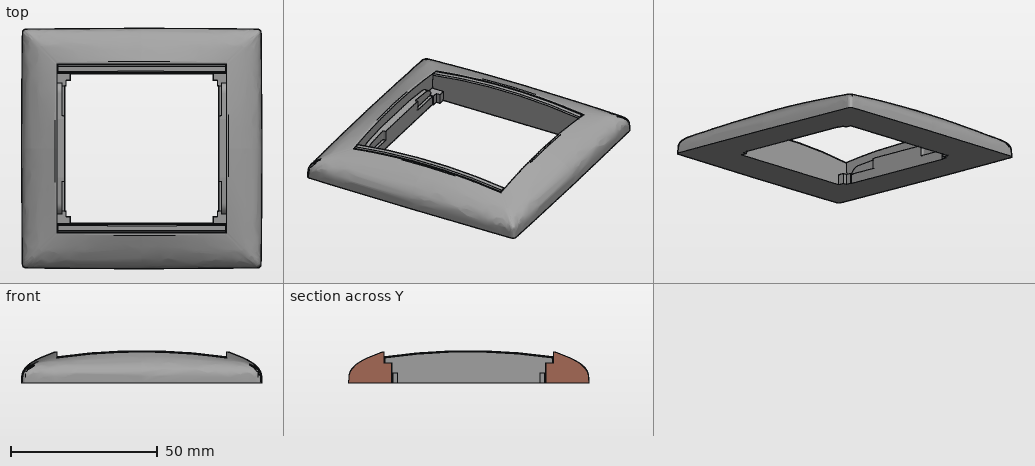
import cadquery as cq
import math

half_width = 41.0
corner_half_width = 40.7
corner_radius = 1.2
total_height = 11.1

wall_inset = 0.3
wall_z = 3.45
dome = [(38.5, 6.3), (35.0, 8.45), (29.6, 10.7)]
corner_dome = [(38.7, 5.4), (35.1, 7.05), (29.3, 8.6)]
section_inner = 27.1
side_steps = 6
corner_steps = 4
well_half = 28.8

bar_inner_y = 25.4
bar_draft = 0.5
bar_outer_y = 28.4
bar_half_length = 28.5
bar_end_z = 9.0
bar_chamfer = 0.4
groove_depth = 0.8

ledge_inner_x = 26.15
ledge_z = 6.9
ledge_flat_half = 10.0
ledge_bend = (18.9, 6.15)
block_z = 3.5
block_start_y = 22.3

block_inner_x = 24.3
block_face_y = 23.2
step_inner_x = 25.75
step_face_y = 21.3

slot_depth = 1.1
slot_start_y = 11.15
slot_floor_z = 3.3
slot_end_radius = 0.5


def blend(middle, corner, along):
    """Value part-way along a side: it falls off as a parabola towards the corner."""
    return middle + (corner - middle) * along ** 2


def border_section(across, along):
    """Closed section of the border in an upright plane through the Z axis.

    `across` and `along` give the plane's direction as fractions of the half width:
    (1, 0) is the middle of the +X side and (0, 1) the middle of the +Y side.
    """
    fall = min(across, along)

    def at(distance, z):
        return cq.Vector(across * distance, along * distance, z)

    outer = blend(half_width, corner_half_width, fall)
    points = [at(outer, 0), at(outer - wall_inset, wall_z)]
    for (distance, z), (corner_distance, corner_z) in zip(dome, corner_dome):
        points.append(at(blend(distance, corner_distance, fall), blend(z, corner_z, fall)))
    rim_point = points[-1]
    wall_direction = points[1] - points[0]
    dome_direction = rim_point - points[-2]
    top_inner = at(section_inner, rim_point.z)
    bottom_inner = at(section_inner, 0)
    return cq.Wire.assembleEdges([
        cq.Edge.makeLine(bottom_inner, points[0]),
        cq.Edge.makeSpline(points, tangents=[wall_direction, dome_direction]),
        cq.Edge.makeLine(rim_point, top_inner),
        cq.Edge.makeLine(top_inner, bottom_inner),
    ])


def border():
    """Four equal quarters, each from mid-side around a rounded corner to mid-side."""
    radius = corner_radius / corner_half_width
    arc_centre = 1 - radius

    side = []
    for step in range(side_steps):
        turn = math.pi / 2 * step / side_steps
        side.append((1, arc_centre * math.sin(turn)))

    arc = []
    for step in range(corner_steps + 1):
        turn = math.pi / 2 * step / corner_steps
        arc.append((arc_centre + radius * math.cos(turn), arc_centre + radius * math.sin(turn)))

    next_side = [(along, across) for across, along in reversed(side)]
    sections = [border_section(*direction) for direction in side + arc + next_side]
    quarter = cq.Workplane(cq.occ_impl.shapes.loft(sections, cap=True))

    ring = quarter
    for turn in (90, 180, 270):
        ring = ring.union(quarter.rotate((0, 0, 0), (0, 0, 1), turn))
    well = cq.Workplane().rect(2 * well_half, 2 * well_half).extrude(total_height)
    return ring.cut(well)


def arched_plate(near_y, far_y, drop):
    """Plate along X between two Y positions, its arched top lowered by `drop`."""
    return (
        cq.Workplane("XZ", origin=(0, far_y, 0))
        .moveTo(-bar_half_length, 0)
        .lineTo(-bar_half_length, bar_end_z - drop)
        .threePointArc((0, total_height - drop), (bar_half_length, bar_end_z - drop))
        .lineTo(bar_half_length, 0)
        .close()
        .extrude(far_y - near_y)
    )


def bar():
    """Arched bar on the +Y side with the floor of the groove behind it."""
    arch = arched_plate(bar_inner_y, bar_outer_y, 0)
    draft = (
        cq.Workplane("YZ", origin=(-half_width, 0, 0))
        .polyline([(bar_inner_y, 0), (bar_inner_y + bar_draft, total_height), (bar_inner_y, total_height)])
        .close()
        .extrude(2 * half_width)
    )
    arch = arch.cut(draft).edges(">Z").chamfer(bar_chamfer)
    floor = arched_plate(bar_outer_y, well_half, groove_depth)
    return arch.union(floor)


def ledge_slot():
    """Cutter for the slot in the +Y half of the +X ledge, open towards the opening and upwards."""
    return (
        cq.Workplane(origin=(ledge_inner_x, slot_start_y, slot_floor_z))
        .box(slot_depth, block_start_y - slot_start_y, ledge_z, centered=False)
        .edges("|Z and <Y and >X")
        .fillet(slot_end_radius)
    )


def corner_block():
    """Stepped block in the +X +Y corner of the opening."""
    return (
        cq.Workplane()
        .polyline([
            (well_half, step_face_y), (step_inner_x, step_face_y),
            (step_inner_x, block_face_y), (block_inner_x, block_face_y),
            (block_inner_x, bar_outer_y), (well_half, bar_outer_y),
        ])
        .close()
        .extrude(block_z)
    )


def ledge():
    """Ledge on the +X side, with its two slots and corner blocks."""
    half = (
        cq.Workplane("YZ", origin=(ledge_inner_x, 0, 0))
        .moveTo(0, ledge_z)
        .lineTo(ledge_flat_half, ledge_z)
        .lineTo(*ledge_bend)
        .tangentArcPoint((block_start_y, block_z), relative=False)
        .lineTo(well_half, block_z)
        .lineTo(well_half, 0)
        .lineTo(0, 0)
        .close()
        .extrude(well_half - ledge_inner_x)
    )
    half = half.cut(ledge_slot()).union(corner_block())
    return half.union(half.mirror("XZ"))


frame = border()
for angle in (0, 180):
    frame = frame.union(bar().rotate((0, 0, 0), (0, 0, 1), angle))
    frame = frame.union(ledge().rotate((0, 0, 0), (0, 0, 1), angle))
result = frame.solids()